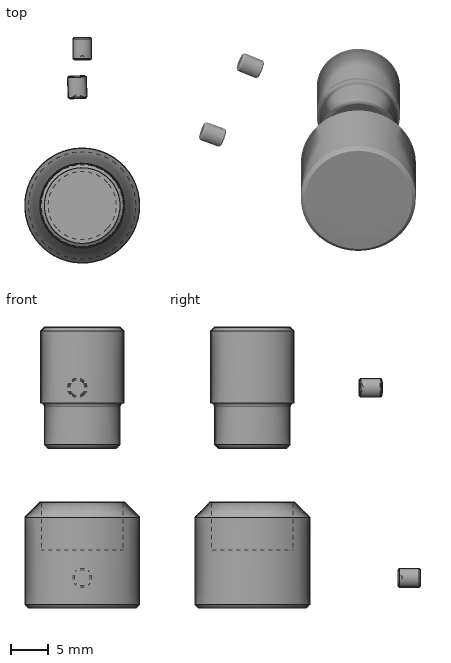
import cadquery as cq
import math

edge_chamfer = 0.5

sleeve_radius = 7.6
sleeve_height = 14.0
sleeve_top_chamfer = 2.0
bore_radius = 5.4
bore_depth = 6.3

plug_bottom = 21.12
plug_head_radius = 5.5
plug_head_length = 10.0
plug_neck_radius = 5.0
plug_neck_length = 6.0
plug_height = plug_neck_length + plug_head_length

pin_radius = 1.25
pin_length = 3.0
pin_chamfer = 0.2
cup_angle = 120.0
cup_radius = pin_radius - pin_chamfer
cup_depth = cup_radius / math.tan(math.radians(cup_angle / 2))

sleeve_pin_start = 19.24
sleeve_pin_height = 4.0
sleeve_pin_turn = 0.0
plug_pin_start = 14.15
plug_pin_height = plug_bottom + 8.0
plug_pin_turn = 2.4
pin_places = [
    (sleeve_pin_start, sleeve_pin_height, sleeve_pin_turn),
    (plug_pin_start, plug_pin_height, plug_pin_turn),
]


def make_sleeve():
    """Cylinder with a wide top chamfer, a small bottom chamfer and a blind bore."""
    body = cq.Workplane("XY").circle(sleeve_radius).extrude(sleeve_height)
    body = body.faces(">Z").chamfer(sleeve_top_chamfer)
    body = body.faces("<Z").chamfer(edge_chamfer)
    bore = (
        cq.Workplane("XY")
        .workplane(offset=sleeve_height - bore_depth)
        .circle(bore_radius)
        .extrude(bore_depth)
    )
    return body.cut(bore)


def make_plug():
    """Revolved head and neck, blended by a concave fillet under the head."""
    fillet_radius = plug_head_radius - plug_neck_radius
    fillet_middle = fillet_radius * (1 - math.sqrt(0.5))
    profile = (
        cq.Workplane("XZ")
        .moveTo(0, 0)
        .lineTo(plug_neck_radius - edge_chamfer, 0)
        .lineTo(plug_neck_radius, edge_chamfer)
        .lineTo(plug_neck_radius, plug_neck_length - fillet_radius)
        .threePointArc(
            (plug_neck_radius + fillet_middle, plug_neck_length - fillet_middle),
            (plug_head_radius, plug_neck_length),
        )
        .lineTo(plug_head_radius, plug_height - edge_chamfer)
        .lineTo(plug_head_radius - edge_chamfer, plug_height)
        .lineTo(0, plug_height)
        .close()
    )
    plug = profile.revolve(360, (0, 0, 0), (0, 1, 0))
    return plug.translate((0, 0, plug_bottom))


def make_pin(start, height, turn):
    """Pin with both ends chamfered and a conical cup meeting the inner end edge."""
    pin = (
        cq.Workplane("XY")
        .moveTo(0, cup_depth)
        .lineTo(cup_radius, 0)
        .lineTo(pin_radius, pin_chamfer)
        .lineTo(pin_radius, pin_length - pin_chamfer)
        .lineTo(pin_radius - pin_chamfer, pin_length)
        .lineTo(0, pin_length)
        .close()
        .revolve(360, (0, 0, 0), (0, 1, 0))
    )
    return pin.translate((0, start, height)).rotate((0, 0, 0), (0, 0, 1), turn)


sleeve = make_sleeve()
plug = make_plug()
pins = [make_pin(*place) for place in pin_places]

result = cq.Compound.makeCompound([sleeve.val(), plug.val(), *[pin.val() for pin in pins]])